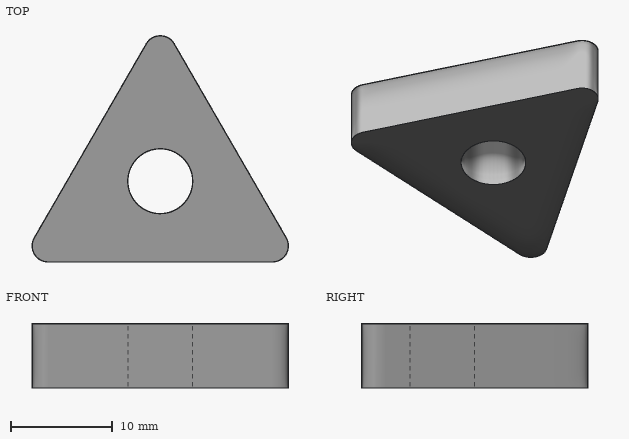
import cadquery as cq
import math

inscribed_diameter = 15.875
corner_radius = 1.5875
thickness = 6.35
hole_diameter = 6.35

side_count = 3
inscribed_radius = inscribed_diameter / 2
sharp_corner_radius = inscribed_radius / math.cos(math.pi / side_count)


def triangle_corners():
    """Sharp corners of the equilateral outline, the first pointing along +Y."""
    corners = []
    for index in range(side_count):
        angle = math.pi / 2 + index * 2 * math.pi / side_count
        corners.append((sharp_corner_radius * math.cos(angle), sharp_corner_radius * math.sin(angle)))
    return corners


def insert_body():
    """Triangular plate standing on Z = 0, with its upright edges rounded."""
    plate = cq.Workplane("XY").polyline(triangle_corners()).close().extrude(thickness)
    return plate.edges("|Z").fillet(corner_radius)


def clamping_hole():
    """Cylinder that removes the central through hole."""
    return cq.Workplane("XY").circle(hole_diameter / 2).extrude(thickness)


result = insert_body().cut(clamping_hole())